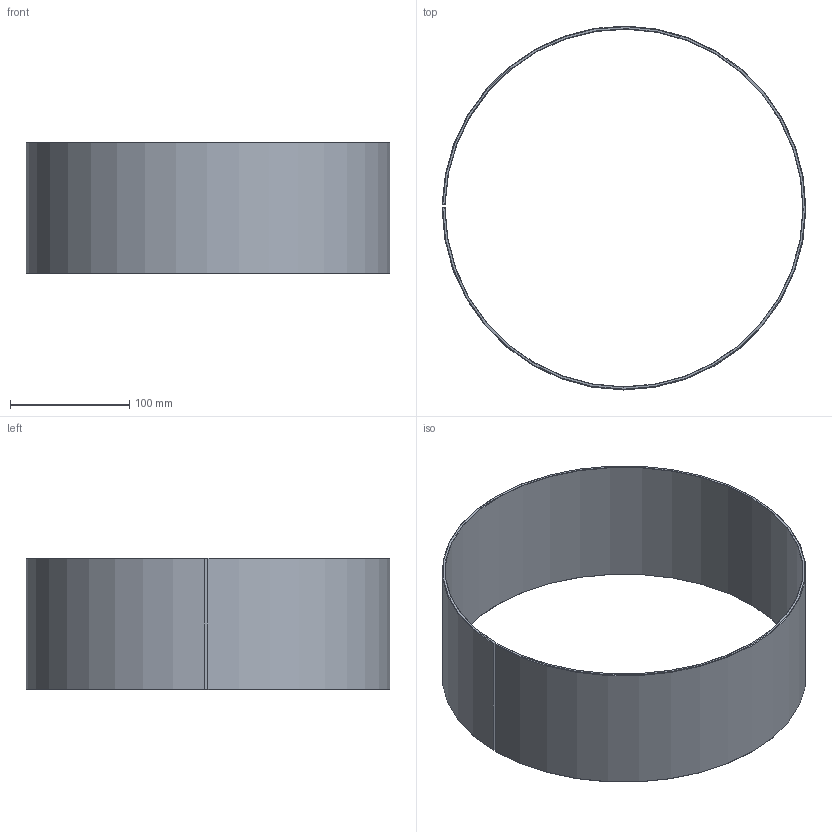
import cadquery as cq

outer_diameter = 305.0
wall_thickness = 2.5
height = 110.0
outer_chamfer = 0.5
inner_chamfer = 0.2
slit_angle = 1.0

outer_radius = outer_diameter / 2
inner_radius = outer_radius - wall_thickness


def make_wall_section():
    """Wall cross-section on the -X side: a tall rectangle with all four corners chamfered."""
    return (
        cq.Workplane("XZ")
        .moveTo(-outer_radius, outer_chamfer)
        .lineTo(-outer_radius + outer_chamfer, 0)
        .lineTo(-inner_radius - inner_chamfer, 0)
        .lineTo(-inner_radius, inner_chamfer)
        .lineTo(-inner_radius, height - inner_chamfer)
        .lineTo(-inner_radius - inner_chamfer, height)
        .lineTo(-outer_radius + outer_chamfer, height)
        .lineTo(-outer_radius, height - outer_chamfer)
        .close()
    )


def make_split_ring():
    """Sweep the wall about Z, starting toward -Y, leaving a slit open on the +Y side of the start."""
    sweep_angle = 360 - slit_angle
    return make_wall_section().revolve(sweep_angle, (0, 0, 0), (0, 1, 0))


result = make_split_ring()